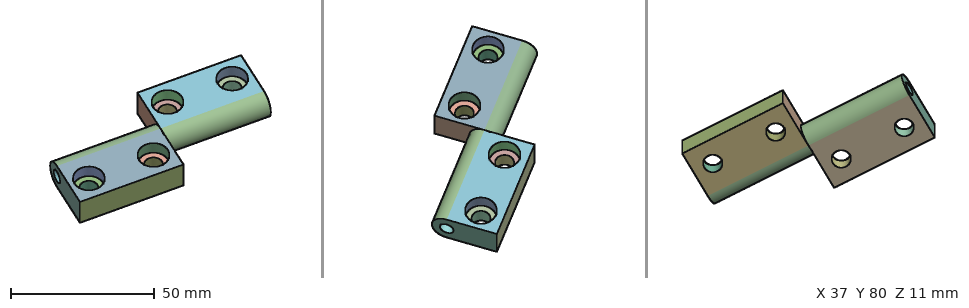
import cadquery as cq

TOTAL_LENGTH = 80.0
THICKNESS = 11.0
LEAF_REACH = 18.5
BARREL_RADIUS = THICKNESS / 2
LEAF_LENGTH = TOTAL_LENGTH / 2

PIN_HOLE_DIAMETER = 5.0

SCREW_DIAMETER = 6.6
HEAD_DIAMETER = 11.0
HEAD_DEPTH = 5.0
SCREW_OFFSET = 10.0
SCREW_SPACING = 25.0
END_MARGIN = 7.5
OUTER_SCREW_Y = TOTAL_LENGTH / 2 - END_MARGIN
SCREW_YS = [OUTER_SCREW_Y - SCREW_SPACING, OUTER_SCREW_Y]


def leaf_blank(side):
    """Plate with a half-round barrel, running from Y = 0 towards +Y or -Y."""
    return (
        cq.Workplane("XZ")
        .moveTo(0, BARREL_RADIUS)
        .lineTo(-side * LEAF_REACH, BARREL_RADIUS)
        .lineTo(-side * LEAF_REACH, -BARREL_RADIUS)
        .lineTo(0, -BARREL_RADIUS)
        .threePointArc((side * BARREL_RADIUS, 0), (0, BARREL_RADIUS))
        .close()
        .extrude(-side * LEAF_LENGTH)
    )


def pin_hole():
    """Cutter for the pin bore along the hinge axis."""
    return (
        cq.Workplane("XZ")
        .circle(PIN_HOLE_DIAMETER / 2)
        .extrude(TOTAL_LENGTH / 2, both=True)
    )


def make_leaf(side):
    """Side +1 lies at +Y with its plate towards -X; side -1 is turned half round."""
    screw_points = [(-side * SCREW_OFFSET, side * y) for y in SCREW_YS]
    return (
        leaf_blank(side)
        .cut(pin_hole())
        .copyWorkplane(cq.Workplane("XY", origin=(0, 0, THICKNESS / 2)))
        .pushPoints(screw_points)
        .cboreHole(SCREW_DIAMETER, HEAD_DIAMETER, HEAD_DEPTH)
    )


leaves = [make_leaf(side) for side in (1, -1)]

result = cq.Compound.makeCompound([leaf.val() for leaf in leaves])